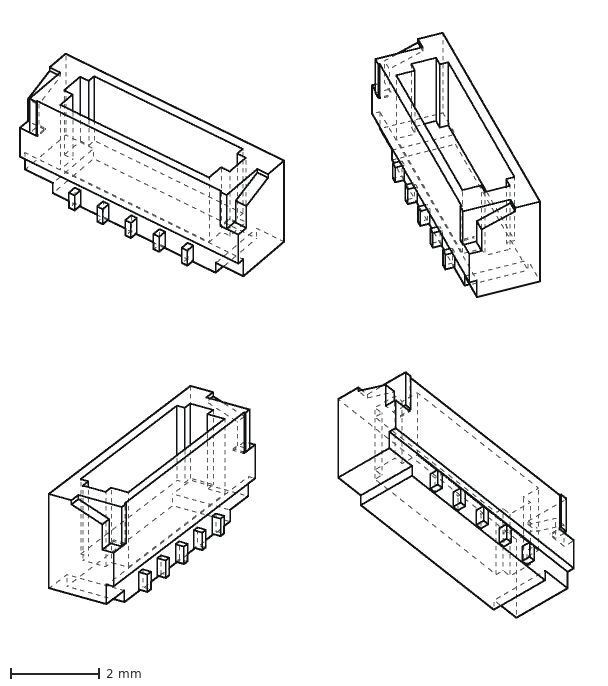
import cadquery as cq


length = 6.2
height = 2.7
body_depth = 1.71
base_depth = 1.525
base_height = 0.8
foot_length = 4.625
foot_height = 0.3

cavity_length = 4.215
cavity_back = 0.24
cavity_front = 1.5
ear_length = 4.7
ear_back = 0.445
ear_front = 1.05
cavity_floor = base_height

recess_width = 0.305
ramp_start = 0.6
ramp_top_drop = 0.105
ramp_bottom_drop = 0.395
corner_start = 1.415
corner_drop = 1.04
tab_thickness = 0.185
tab_drop = 1.005
overall_depth = 1.75

pin_count = 5
pin_pitch = 0.8
pin_width = 0.16
pin_bottom = 0.04
pin_height = 0.445


def block(x_min, x_max, y_back, y_front, z_min, z_max):
    """Box between X and Z limits; Y limits are distances forward from the back face."""
    size = (x_max - x_min, y_front - y_back, z_max - z_min)
    return cq.Workplane("XY").box(*size, centered=False).translate((x_min, -y_front, z_min))


def centered_block(width, y_back, y_front, z_min, z_max):
    return block(-width / 2, width / 2, y_back, y_front, z_min, z_max)


def housing():
    upper = centered_block(length, 0, body_depth, base_height, height)
    base = centered_block(length, 0, base_depth, foot_height, base_height)
    foot = centered_block(foot_length, 0, base_depth, 0, foot_height)
    return upper.union(base).union(foot)


def cavity():
    main = centered_block(cavity_length, cavity_back, cavity_front, cavity_floor, height)
    ears = centered_block(ear_length, ear_back, ear_front, cavity_floor, height)
    return main.union(ears)


def left_recess():
    """Ramped side recess that ends in a deeper and wider front corner pocket."""
    left = -length / 2
    ramp = (
        cq.Workplane("YZ", origin=(left, 0, 0))
        .polyline([
            (-ramp_start, height),
            (-ramp_start, height - ramp_top_drop),
            (-corner_start, height - ramp_bottom_drop),
            (-corner_start, height),
        ])
        .close()
        .extrude(recess_width)
    )
    pocket_right = left + recess_width + tab_thickness
    pocket = block(left, pocket_right, corner_start, body_depth, height - corner_drop, height)
    return ramp.union(pocket)


def left_tab():
    x_min = -length / 2 + recess_width
    x_max = x_min + tab_thickness
    return block(x_min, x_max, corner_start, overall_depth, height - tab_drop, height)


def pin(x_center):
    return centered_block(
        pin_width, base_depth, overall_depth, pin_bottom, pin_bottom + pin_height
    ).translate((x_center, 0, 0))


recess = left_recess()
tab = left_tab()
result = housing().cut(cavity())
result = result.cut(recess).cut(recess.mirror("YZ"))
result = result.union(tab).union(tab.mirror("YZ"))
for index in range(pin_count):
    result = result.union(pin((index - (pin_count - 1) / 2) * pin_pitch))